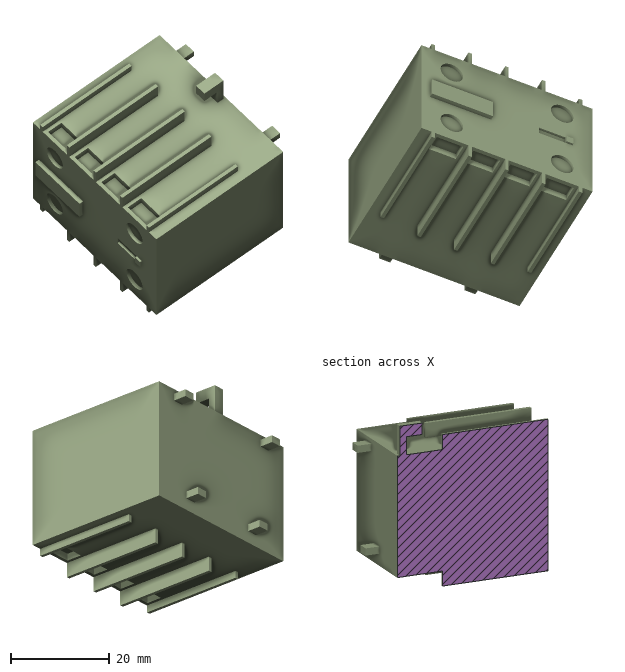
import cadquery as cq

body_width = 38.8
body_depth = 33.98
body_height = 26.15
top = body_height / 2

rib_thickness = 0.78
rib_pitch = 8.35
rib_length = 23.8
tall_rib = 3.22
short_rib = 1.6
rib_heights = [short_rib, tall_rib, tall_rib, tall_rib, short_rib]

pocket_width = 6.05
pocket_length = 3.55
pocket_front_wall = 0.8
pocket_depth = 1.55

recess_diameter = 5.1
recess_spacing_x = 25.02
recess_spacing_z = 15.85
recess_depth = 0.78

label_left = -17.45
label_width = 13.85
label_height = 4.5
label_thickness = 0.97

slot_right = 14.8
slot_width = 7.6
slot_height = 1.65
slot_depth = 0.5
slider_width = 1.55
slider_projection = 0.45

peg_width = 2.5
peg_height = 1.55
peg_length = 3.1
peg_inner_x = 9.65
peg_outer_x = 13.55
peg_upper_z = 11.2
peg_lower_z = -9.65

hook_width = 2.6
hook_height = 6.32
hook_reach = 5.1
hook_stem = 1.55
hook_lip = 2.55
hook_rear_gap = 0.6


def box(x_min, x_size, y_min, y_size, z_min, z_size):
    """Box given by its lowest corner and its sizes."""
    corner = (x_min, y_min, z_min)
    return cq.Workplane("XY").box(x_size, y_size, z_size, centered=False).translate(corner)


def make_ribs():
    """Ribs that stand out equally above and below the housing."""
    ribs = cq.Workplane("XY")
    first_x = -rib_pitch * (len(rib_heights) - 1) / 2
    for index, height in enumerate(rib_heights):
        left = first_x + index * rib_pitch - rib_thickness / 2
        for bottom in (top, -top - height):
            ribs = ribs.add(box(left, rib_thickness, 0, rib_length, bottom, height))
    return ribs


def make_pockets():
    """Pockets centred between neighbouring ribs, on both top and bottom."""
    pockets = cq.Workplane("XY")
    count = len(rib_heights) - 1
    for index in range(count):
        left = (index - (count - 1) / 2) * rib_pitch - pocket_width / 2
        for bottom in (top - pocket_depth, -top):
            pocket = box(left, pocket_width, pocket_front_wall, pocket_length, bottom, pocket_depth)
            pockets = pockets.add(pocket)
    return pockets


def make_recesses():
    """Four shallow round recesses, sunk from the front face."""
    return (
        cq.Workplane("XZ")
        .rarray(recess_spacing_x, recess_spacing_z, 2, 2)
        .circle(recess_diameter / 2)
        .extrude(-recess_depth)
    )


def make_pegs():
    """Outer pair of pegs high on the rear face and inner pair low on it."""
    pegs = cq.Workplane("XY")
    for x, z in ((peg_outer_x, peg_upper_z), (peg_inner_x, peg_lower_z)):
        bottom = z - peg_height / 2
        for center in (-x, x):
            left = center - peg_width / 2
            pegs = pegs.add(box(left, peg_width, body_depth, peg_length, bottom, peg_height))
    return pegs


def make_hook():
    """Upright stem with a lip pointing forward."""
    rear = body_depth - hook_rear_gap
    left = -hook_width / 2
    stem = box(left, hook_width, rear - hook_stem, hook_stem, top, hook_height)
    lip_bottom = top + hook_height - hook_lip
    lip = box(left, hook_width, rear - hook_reach, hook_reach, lip_bottom, hook_lip)
    return stem.union(lip)


def make_label():
    """Plate raised from the front face."""
    return box(label_left, label_width, -label_thickness, label_thickness, -label_height / 2, label_height)


def make_slot():
    """Shallow slot the slider sits in."""
    return box(slot_right - slot_width, slot_width, 0, slot_depth, -slot_height / 2, slot_height)


def make_slider():
    """Slider at the right end of the slot, rising from its floor past the front face."""
    length = slot_depth + slider_projection
    left = slot_right - slider_width
    return box(left, slider_width, -slider_projection, length, -slot_height / 2, slot_height)


housing = box(-body_width / 2, body_width, 0, body_depth, -top, body_height)

for cutter in (make_pockets(), make_recesses(), make_slot()):
    for solid in cutter.vals():
        housing = housing.cut(cq.Workplane(solid))

for addition in (make_ribs(), make_pegs(), make_hook(), make_label(), make_slider()):
    for solid in addition.vals():
        housing = housing.union(cq.Workplane(solid))

result = housing